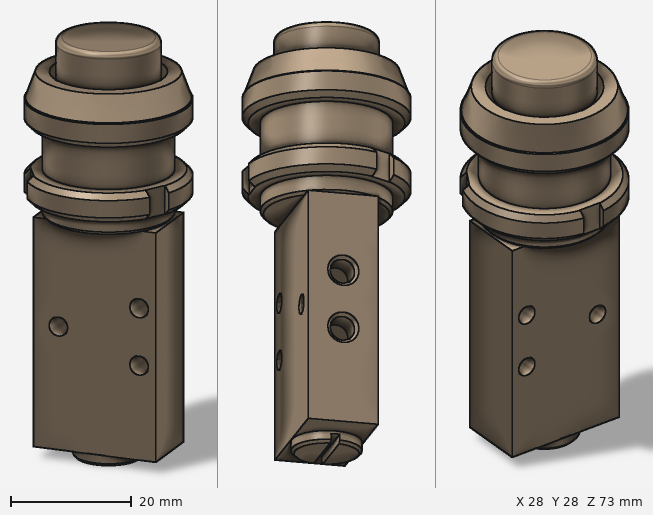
import cadquery as cq
import math

block_bottom = 2.0
thread_bottom = 42.0
nut_bottom = 45.0
nut_thickness = 5.0
collar_bottom = 58.0
collar_cone_bottom = 62.5
collar_top = 67.0
button_top = 73.0

block_width = 22.0
block_depth = 12.0
block_center_z = 23.5
mount_hole_diameter = 3.3
mount_hole_pitch = 10.0
pair_hole_x = 8.0
single_hole_x = -6.5

port_diameter = 4.13
port_mouth_diameter = 5.3
port_countersink_depth = (port_mouth_diameter - port_diameter) / 2
port_depth = 5.0
port_pitch = mount_hole_pitch

plug_diameter = 11.8
plug_chamfer = 0.5
slot_width = 1.5
slot_depth = 1.5

thread_diameter = 22.0
thread_end_diameter = 20.92
thread_chamfer = (thread_diameter - thread_end_diameter) / 2
collar_diameter = 28.0
collar_chamfer = 1.0
cone_base_diameter = 27.6
collar_edge_bevel = (collar_diameter - cone_base_diameter) / 2
cone_top_diameter = 24.3

button_diameter = 17.5
button_fillet = 1.0
recess_diameter = 19.6
recess_depth = 1.0

nut_diameter = 28.0
nut_chamfer = 1.0
notch_count = 3
notch_first_angle = 90.0
notch_width = 4.0
notch_floor_radius = 12.75


def make_block():
    """Rectangular block with through mounting holes and blind side ports."""
    block = cq.Workplane("XY").workplane(offset=block_bottom).rect(block_width, block_depth)
    block = block.extrude(thread_bottom - block_bottom)

    hole_places = [
        (single_hole_x, block_center_z),
        (pair_hole_x, block_center_z - mount_hole_pitch / 2),
        (pair_hole_x, block_center_z + mount_hole_pitch / 2),
    ]
    holes = cq.Workplane("XZ").pushPoints(hole_places).circle(mount_hole_diameter / 2)
    block = block.cut(holes.extrude(block_depth, both=True))

    for side in (-1, 1):
        block = block.cut(make_port_cutter(block_center_z + side * port_pitch / 2))
    return block


def make_port_cutter(port_z):
    """Blind bore with a countersunk mouth, entering the -X face at height port_z."""
    face_x = -block_width / 2
    profile = [
        (face_x, 0),
        (face_x, port_mouth_diameter / 2),
        (face_x + port_countersink_depth, port_diameter / 2),
        (face_x + port_depth, port_diameter / 2),
        (face_x + port_depth, 0),
    ]
    cutter = cq.Workplane("XZ").polyline(profile).close().revolve(360, (0, 0), (1, 0))
    return cutter.translate((0, 0, port_z))


def make_plug():
    """Round end plug with a chamfered rim and a screwdriver slot along X."""
    plug = cq.Workplane("XY").circle(plug_diameter / 2).extrude(block_bottom)
    plug = plug.faces("<Z").chamfer(plug_chamfer)
    slot = cq.Workplane("XY").rect(2 * plug_diameter, slot_width).extrude(slot_depth)
    return plug.cut(slot)


def make_head():
    """Threaded barrel, collar and push button as one turned profile."""
    button_radius = button_diameter / 2
    collar_radius = collar_diameter / 2
    thread_radius = thread_diameter / 2
    fillet_offset = button_fillet * math.sqrt(0.5)
    fillet_center_r = button_radius - button_fillet
    fillet_center_z = button_top - button_fillet
    profile = (
        cq.Workplane("XZ")
        .moveTo(0, thread_bottom)
        .lineTo(thread_end_diameter / 2, thread_bottom)
        .lineTo(thread_radius, thread_bottom + thread_chamfer)
        .lineTo(thread_radius, collar_bottom)
        .lineTo(collar_radius - collar_chamfer, collar_bottom)
        .lineTo(collar_radius, collar_bottom + collar_chamfer)
        .lineTo(collar_radius, collar_cone_bottom - collar_edge_bevel)
        .lineTo(cone_base_diameter / 2, collar_cone_bottom)
        .lineTo(cone_top_diameter / 2, collar_top)
        .lineTo(recess_diameter / 2, collar_top)
        .lineTo(button_radius, collar_top - recess_depth)
        .lineTo(button_radius, fillet_center_z)
        .threePointArc(
            (fillet_center_r + fillet_offset, fillet_center_z + fillet_offset),
            (fillet_center_r, button_top),
        )
        .lineTo(0, button_top)
        .close()
    )
    return profile.revolve(360, (0, 0), (0, 1))


def make_ring_nut():
    """Chamfered ring nut around the barrel, with spanner notches in its rim."""
    nut = cq.Workplane("XY").workplane(offset=nut_bottom).circle(nut_diameter / 2)
    nut = nut.extrude(nut_thickness).edges().chamfer(nut_chamfer)
    bore = cq.Workplane("XY").workplane(offset=nut_bottom).circle(thread_diameter / 2)
    nut = nut.cut(bore.extrude(nut_thickness))

    notch = (
        cq.Workplane("XY")
        .workplane(offset=nut_bottom)
        .center(notch_floor_radius + nut_diameter / 2, 0)
        .rect(nut_diameter, notch_width)
        .extrude(nut_thickness)
    )
    for index in range(notch_count):
        angle = notch_first_angle + index * 360 / notch_count
        nut = nut.cut(notch.rotate((0, 0, 0), (0, 0, 1), angle))
    return nut


valve = make_block().union(make_plug()).union(make_head())
ring_nut = make_ring_nut()

result = cq.Compound.makeCompound([valve.val(), ring_nut.val()])